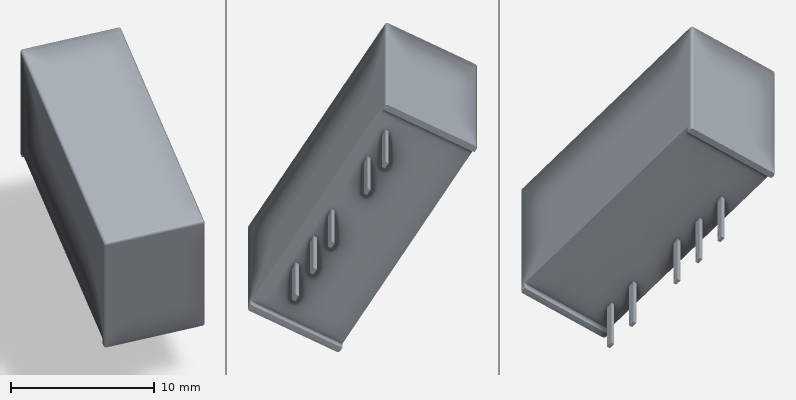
import cadquery as cq

LENGTH = 19.75
WIDTH = 7.35
HEIGHT = 10.47
EDGE_RADIUS = 0.2
FOOT_LENGTH = 0.5
FOOT_HEIGHT = 0.5

PIN_WIDTH = 0.5
PIN_THICKNESS = 0.25
PIN_DROP = 3.57
PIN_PITCH = 2.55
PIN_SLOTS = (0, 1, 3, 4, 5)
FIRST_PIN_X = -7.47
PIN_Y = 2.39

MARKER_DIAMETER = 1.0
MARKER_DEPTH = 0.1
MARKER_X = -7.9
MARKER_Z = 2.98


def make_marker():
    front_plane = cq.Plane(origin=(MARKER_X, -WIDTH / 2, MARKER_Z), xDir=(1, 0, 0), normal=(0, 1, 0))
    return cq.Workplane(front_plane).circle(MARKER_DIAMETER / 2).extrude(MARKER_DEPTH)


def make_housing(marker):
    block = cq.Workplane("XY").box(LENGTH, WIDTH, HEIGHT, centered=(True, True, False))
    block = block.edges("|Z or >Z").fillet(EDGE_RADIUS)
    underside_relief = cq.Workplane("XY").box(
        LENGTH - 2 * FOOT_LENGTH, WIDTH, FOOT_HEIGHT, centered=(True, True, False)
    )
    return block.cut(underside_relief).cut(marker)


def make_pin(slot):
    pin_length = PIN_DROP + FOOT_HEIGHT
    return (
        cq.Workplane("XY")
        .box(PIN_WIDTH, PIN_THICKNESS, pin_length, centered=(True, True, False))
        .translate((FIRST_PIN_X + slot * PIN_PITCH, PIN_Y, -PIN_DROP))
    )


marker = make_marker()
housing = make_housing(marker)
pins = [make_pin(slot) for slot in PIN_SLOTS]

result = cq.Compound.makeCompound([housing.val(), marker.val(), *[pin.val() for pin in pins]])